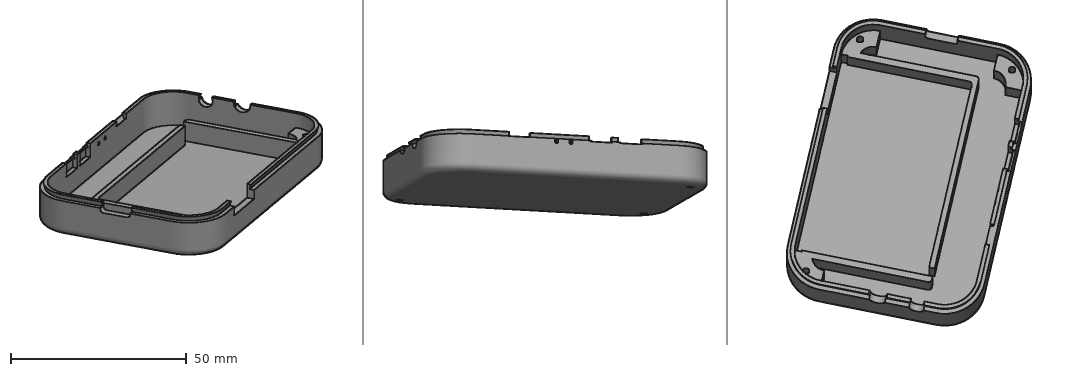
import cadquery as cq

LENGTH_X = 57.2
LENGTH_Y = 84.7
HEIGHT = 12.0
CORNER_RADIUS = 11.5
BOTTOM_FILLET = 2.0
WALL = 2.2
FLOOR = 1.7

LIP_HEIGHT = 1.4
LIP_INSET = 1.0
LIP_LEAN_DEGREES = 15

PAD_CORNERS = [(-1, -1), (1, -1), (1, 1)]
PAD_TOP = 7.6
PAD_RELIEF_RADIUS = 4.3
SCREW_DIAMETER = 1.9
SCREW_X = 22.1
SCREW_Y = 36.4

RIB_OUTER_X = -13.5
RIB_OUTER_Y = 32.35
RIB_END_X = 24.6
SIDE_RIB_WIDTH = 1.6
CROSS_RIB_WIDTH = 1.95
SIDE_RIB_END_Y = 27.9
RIB_FILLET = 1.0

ROUND_NOTCHES = [(-11.3, 1.0, 4.4), (0.2, 0.2, 5.25)]

FRONT_NOTCH_X = -0.7
FRONT_NOTCH_WIDTH = 9.4
FRONT_NOTCH_DEPTH = 2.8
FRONT_NOTCH_FILLET = 1.1

RIGHT_NOTCH_Y = -18.5
RIGHT_NOTCH_WIDTH = 13.1
RIGHT_NOTCH_DEPTH = 4.2

LIP_GAP_Y = 16.1
LIP_GAP_WIDTH = 6.35

CONNECTORS = [(-8.0, 6.8), (-16.8, 7.0)]
RECESS_SKIN = 0.8
RECESS_MARGIN = 0.2
RECESS_DEPTH = 4.2
CONNECTOR_DEPTH = 1.7
CONNECTOR_FILLET = 0.4

PINHOLE_DIAMETER = 1.0
PINHOLE_Z = 9.8
PINHOLE_YS = [5.4, 1.2]

HALF_X = LENGTH_X / 2
HALF_Y = LENGTH_Y / 2
SHELF_Z = HEIGHT - LIP_HEIGHT
CORNER_X = HALF_X - CORNER_RADIUS
CORNER_Y = HALF_Y - CORNER_RADIUS


def box(x0, x1, y0, y1, z0, z1):
    """Box spanning the given limits."""
    return cq.Workplane("XY").box(x1 - x0, y1 - y0, z1 - z0, centered=False).translate((x0, y0, z0))


def rounded_block(inset, z0, z1):
    """Block with the case outline, moved inwards by inset."""
    block = cq.Workplane("XY").workplane(offset=z0)
    block = block.rect(LENGTH_X - 2 * inset, LENGTH_Y - 2 * inset).extrude(z1 - z0)
    return block.edges("|Z").fillet(CORNER_RADIUS - inset)


def make_shell():
    """Open tray with a rounded underside and a stepped rim."""
    body = rounded_block(0, 0, SHELF_Z).faces("<Z").edges().fillet(BOTTOM_FILLET)
    lip = (
        cq.Workplane("XY")
        .workplane(offset=HEIGHT)
        .sketch()
        .rect(LENGTH_X - 2 * LIP_INSET, LENGTH_Y - 2 * LIP_INSET)
        .vertices()
        .fillet(CORNER_RADIUS - LIP_INSET)
        .finalize()
        .extrude(-LIP_HEIGHT, taper=LIP_LEAN_DEGREES)
    )
    return body.union(lip).cut(rounded_block(WALL, FLOOR, HEIGHT))


def make_pad(side_x, side_y):
    """Corner pad, relieved by a round hollow about the corner centre."""
    centre_x = side_x * CORNER_X
    centre_y = side_y * CORNER_Y
    square = (
        cq.Workplane("XY")
        .center(centre_x + side_x * CORNER_RADIUS / 2, centre_y + side_y * CORNER_RADIUS / 2)
        .rect(CORNER_RADIUS, CORNER_RADIUS)
        .extrude(PAD_TOP)
    )
    relief = cq.Workplane("XY").center(centre_x, centre_y).circle(PAD_RELIEF_RADIUS).extrude(PAD_TOP)
    return square.cut(relief).intersect(rounded_block(WALL / 2, FLOOR / 2, PAD_TOP))


def cut_screw_hole(body, side_x, side_y):
    """Screw hole through a corner pad and the floor."""
    hole = cq.Workplane("XY").center(side_x * SCREW_X, side_y * SCREW_Y).circle(SCREW_DIAMETER / 2)
    return body.cut(hole.extrude(PAD_TOP))


def make_ribs():
    """L-shaped rib along the -X and -Y sides of the tray, and a straight rib on its +Y side."""
    inner_x = RIB_OUTER_X + SIDE_RIB_WIDTH
    inner_y = RIB_OUTER_Y - CROSS_RIB_WIDTH
    bent_rib = (
        cq.Workplane("XY")
        .workplane(offset=FLOOR)
        .moveTo(RIB_OUTER_X, SIDE_RIB_END_Y)
        .lineTo(RIB_OUTER_X, -RIB_OUTER_Y)
        .lineTo(RIB_END_X, -RIB_OUTER_Y)
        .lineTo(RIB_END_X, -inner_y)
        .lineTo(inner_x, -inner_y)
        .lineTo(inner_x, SIDE_RIB_END_Y)
        .close()
        .extrude(PAD_TOP - FLOOR)
    )
    for bend in [(RIB_OUTER_X, -RIB_OUTER_Y), (inner_x, -inner_y)]:
        bend_edge = cq.selectors.NearestToPointSelector((*bend, PAD_TOP / 2))
        bent_rib = bent_rib.edges("|Z").edges(bend_edge).fillet(RIB_FILLET)
    straight_rib = box(RIB_OUTER_X, RIB_END_X, inner_y, RIB_OUTER_Y, FLOOR, PAD_TOP)
    straight_rib = straight_rib.edges("|Z and <X and >Y").fillet(RIB_FILLET)
    return bent_rib.union(straight_rib)


def cut_round_notches(body):
    """Round notches through the rim of the +Y wall."""
    for x, depth, diameter in ROUND_NOTCHES:
        notch = cq.Workplane("XZ", origin=(x, HALF_Y, HEIGHT - depth)).circle(diameter / 2).extrude(WALL)
        body = body.cut(notch)
    return body


def cut_front_notch(body):
    """Wide notch with rounded lower corners in the -Y wall."""
    half = FRONT_NOTCH_WIDTH / 2
    notch = box(FRONT_NOTCH_X - half, FRONT_NOTCH_X + half, -HALF_Y, WALL - HALF_Y,
                HEIGHT - FRONT_NOTCH_DEPTH, HEIGHT)
    return body.cut(notch.edges("|Y and <Z").fillet(FRONT_NOTCH_FILLET))


def cut_right_notch(body):
    """Square notch in the +X wall."""
    half = RIGHT_NOTCH_WIDTH / 2
    notch = box(HALF_X - WALL, HALF_X, RIGHT_NOTCH_Y - half, RIGHT_NOTCH_Y + half,
                HEIGHT - RIGHT_NOTCH_DEPTH, HEIGHT)
    return body.cut(notch)


def cut_lip_gap(body):
    """Gap in the lip on the -X side, level with the shelf."""
    half = LIP_GAP_WIDTH / 2
    return body.cut(box(-HALF_X, WALL - HALF_X, LIP_GAP_Y - half, LIP_GAP_Y + half, SHELF_Z, HEIGHT))


def cut_connectors(body):
    """Openings in the -X wall, each widened into a recess behind a thin outer skin."""
    opening_z = HEIGHT - CONNECTOR_DEPTH
    for y, recess_width in CONNECTORS:
        half = recess_width / 2
        recess = box(RECESS_SKIN - HALF_X, WALL - HALF_X, y - half, y + half,
                     HEIGHT - RECESS_DEPTH, HEIGHT)
        opening_half = half - RECESS_MARGIN
        opening = box(-HALF_X, WALL - HALF_X, y - opening_half, y + opening_half, opening_z, HEIGHT)
        opening = opening.edges("|X and <Z").fillet(CONNECTOR_FILLET)
        body = body.cut(recess).cut(opening)
    return body


def cut_pinholes(body):
    """Small holes through the -X wall."""
    for y in PINHOLE_YS:
        hole = cq.Workplane("YZ", origin=(-HALF_X, y, PINHOLE_Z)).circle(PINHOLE_DIAMETER / 2).extrude(WALL)
        body = body.cut(hole)
    return body


result = make_shell().union(make_ribs())
for corner in PAD_CORNERS:
    result = result.union(make_pad(*corner))
    result = cut_screw_hole(result, *corner)
result = cut_round_notches(result)
result = cut_front_notch(result)
result = cut_right_notch(result)
result = cut_lip_gap(result)
result = cut_connectors(result)
result = cut_pinholes(result)